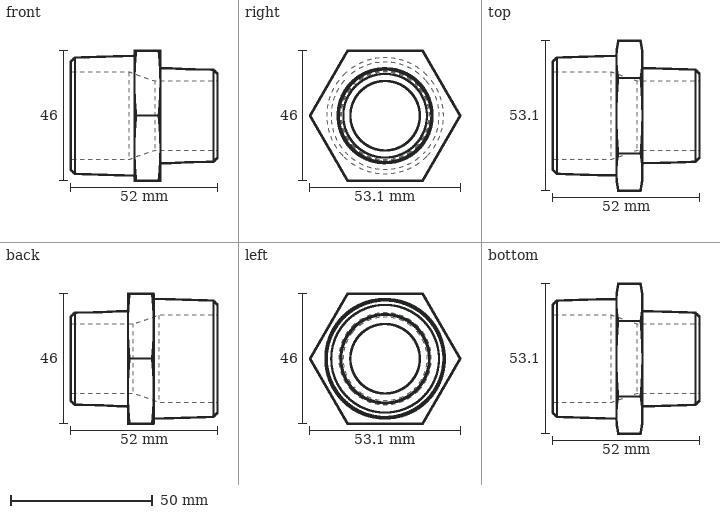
import cadquery as cq
import math


hex_corner_diameter = 53.1
hex_start = 22.6
hex_width = 9.2
hex_end = hex_start + hex_width
hex_flat_distance = hex_corner_diameter * math.cos(math.pi / 6)
hex_face_margin = 0.2
hex_face_radius = hex_flat_distance / 2 - hex_face_margin
hex_bevel_depth = 0.65

total_length = 52.0
large_diameter = 42.3
small_diameter = 33.6
collar_length = 3.45
end_chamfer = 1.55
root_fillet = 0.25
taper_on_diameter = 1 / 16

large_bore_diameter = 31.0
small_bore_diameter = 24.5
large_bore_depth = 20.65
bore_cone_length = 9.25
mouth_chamfer = 0.25


def revolve_about_x(profile):
    """Turn a closed (x, radius) outline into a solid about the X axis."""
    return profile.close().revolve(360, (0, 0, 0), (1, 0, 0))


def make_spigot(diameter, hex_face, end_face):
    """Solid spigot running from a hexagon face to its chamfered end face."""
    outward = math.copysign(1, end_face - hex_face)
    radius = diameter / 2
    fillet_end = hex_face + outward * root_fillet
    taper_start = hex_face + outward * collar_length
    taper_end = end_face - outward * end_chamfer
    tip_radius = radius - abs(taper_end - taper_start) * taper_on_diameter / 2
    fillet_offset = root_fillet * (1 - math.sqrt(0.5))
    profile = (
        cq.Workplane("XY")
        .moveTo(hex_face, 0)
        .lineTo(hex_face, radius + root_fillet)
        .threePointArc(
            (hex_face + outward * fillet_offset, radius + fillet_offset),
            (fillet_end, radius),
        )
        .lineTo(taper_start, radius)
        .lineTo(taper_end, tip_radius)
        .lineTo(end_face, tip_radius - end_chamfer)
        .lineTo(end_face, 0)
    )
    return revolve_about_x(profile)


def make_hexagon():
    """Hexagon with flats facing +Z and -Z and conical bevels on its corners."""
    prism = (
        cq.Workplane("YZ", origin=(hex_start, 0, 0))
        .polygon(6, hex_corner_diameter)
        .extrude(hex_width)
    )
    corner_radius = hex_corner_diameter / 2
    bevel_envelope = revolve_about_x(
        cq.Workplane("XY")
        .moveTo(hex_start, 0)
        .lineTo(hex_start, hex_face_radius)
        .lineTo(hex_start + hex_bevel_depth, corner_radius)
        .lineTo(hex_end - hex_bevel_depth, corner_radius)
        .lineTo(hex_end, hex_face_radius)
        .lineTo(hex_end, 0)
    )
    return prism.intersect(bevel_envelope)


def make_bore():
    """Stepped through bore with a conical transition and a chamfered mouth."""
    large_radius = large_bore_diameter / 2
    small_radius = small_bore_diameter / 2
    return revolve_about_x(
        cq.Workplane("XY")
        .lineTo(0, large_radius + mouth_chamfer)
        .lineTo(mouth_chamfer, large_radius)
        .lineTo(large_bore_depth, large_radius)
        .lineTo(large_bore_depth + bore_cone_length, small_radius)
        .lineTo(total_length, small_radius)
        .lineTo(total_length, 0)
    )


large_spigot = make_spigot(large_diameter, hex_start, 0)
small_spigot = make_spigot(small_diameter, hex_end, total_length)

result = make_hexagon().union(large_spigot).union(small_spigot).cut(make_bore())